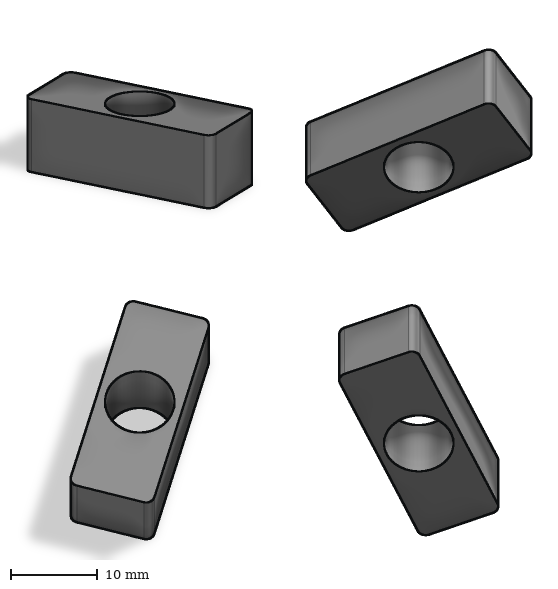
import cadquery as cq

length = 25.0
width = 10.0
height = 9.0
corner_radius = 1.0

hole_diameter = 8.0

block = cq.Workplane("XY").box(length, width, height).edges("|Z").fillet(corner_radius)

result = block.faces(">Z").workplane().hole(hole_diameter)